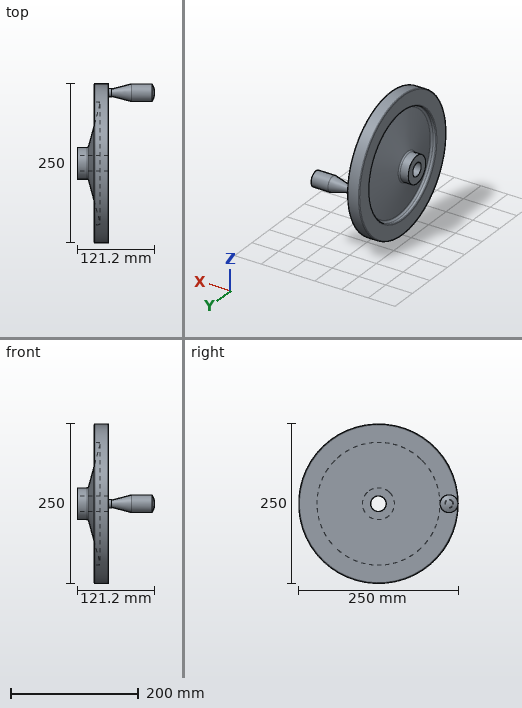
import cadquery as cq
import math

wheel_radius = 125.0
back_x = 49.0
rim_width = 22.5
rim_round = 1.4
recess_radius = 192.62 / 2
hub_radius = 25.0
bore_radius = 12.0

web_angle = math.radians(15.3)
recess_fillet = 3.0
hub_fillet = 2.6
web_start_x = 17.05

grip_radius = 14.0
handle_y = 110.6
stem_radius = 13.44 / 2
neck_radius = 5.8
stem_length = 4.7
taper_length = 31.5
grip_length = 31.5
total_length = 121.24

rim_face_x = back_x - rim_width
web_end_x = web_start_x + (recess_radius - hub_radius) * math.tan(web_angle)


def circle_edges(solid, x, radius):
    """Edges of the given radius that are centred on the X axis at x."""
    reach = 0.01
    box = cq.selectors.BoxSelector(
        (x - reach, -radius - reach, -radius - reach),
        (x + reach, radius + reach, radius + reach),
        boundingbox=True,
    )
    inner = radius - reach
    rings = [
        edge for edge in solid.edges(box).vals()
        if edge.BoundingBox().ymax > inner
    ]
    return solid.newObject(rings)


def make_wheel():
    """Solid wheel with a conical front recess, a central hub and a through bore."""
    wheel = (
        cq.Workplane("XY")
        .moveTo(0, bore_radius)
        .lineTo(0, hub_radius)
        .lineTo(web_start_x, hub_radius)
        .lineTo(web_end_x, recess_radius)
        .lineTo(rim_face_x, recess_radius)
        .lineTo(rim_face_x, wheel_radius)
        .lineTo(back_x, wheel_radius)
        .lineTo(back_x, bore_radius)
        .close()
        .revolve(360, (0, 0, 0), (1, 0, 0))
    )
    fillets = [
        (web_start_x, hub_radius, hub_fillet),
        (web_end_x, recess_radius, recess_fillet),
        (rim_face_x, recess_radius, rim_round),
        (rim_face_x, wheel_radius, rim_round),
        (back_x, wheel_radius, rim_round),
    ]
    for x, radius, fillet_radius in fillets:
        wheel = circle_edges(wheel, x, radius).fillet(fillet_radius)
    return wheel


def make_handle():
    """Stem, tapered neck and cylindrical grip with a domed end."""
    neck_x = back_x + stem_length
    grip_x = neck_x + taper_length
    dome_x = grip_x + grip_length
    dome_height = total_length - dome_x
    dome_radius = (grip_radius**2 + dome_height**2) / (2 * dome_height)
    half_angle = math.asin(grip_radius / dome_radius) / 2
    mid_x = total_length - dome_radius * (1 - math.cos(half_angle))
    mid_radius = dome_radius * math.sin(half_angle)
    profile = (
        cq.Workplane("XY")
        .moveTo(back_x, 0)
        .lineTo(back_x, stem_radius)
        .lineTo(neck_x, stem_radius)
        .lineTo(neck_x, neck_radius)
        .lineTo(grip_x, grip_radius)
        .lineTo(dome_x, grip_radius)
        .threePointArc((mid_x, mid_radius), (total_length, 0))
        .close()
    )
    handle = profile.revolve(360, (0, 0, 0), (1, 0, 0))
    return handle.translate((0, handle_y, 0))


result = make_wheel().union(make_handle())